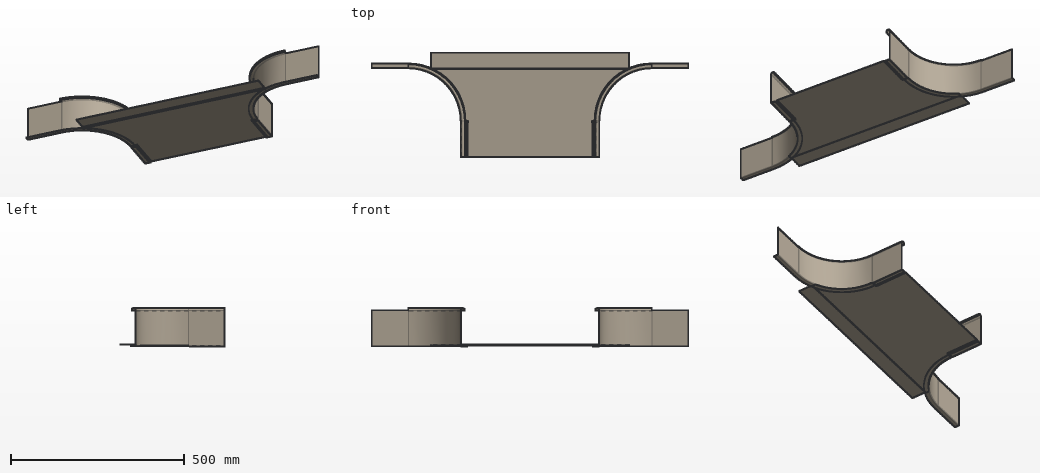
import cadquery as cq
import math

overall_length = 910.0
overall_height = 112.0
overall_depth = 300.0
throat_width = 399.5
leg_length = 105.0
sheet = 1.5

flange_width = 15.0
flange_bend = 2.0
rim_radius = 6.0
rim_lip = 2.0

back_half_width = 285.0
joggle_start = 18.0
joggle_run = 3.0
relief_slot = 5.0

half_length = overall_length / 2
half_throat = throat_width / 2
bend_radius = half_length - half_throat - leg_length
bend_x = half_throat + bend_radius
bend_y = leg_length
wall_back = bend_y + bend_radius
rim_base = overall_height - rim_radius

joggle_rise = 2 * sheet
flange_bottom = sheet
panel_bottom = joggle_rise
back_tab_bottom = panel_bottom + joggle_rise

joggle_outer = half_throat - joggle_start
joggle_inner = joggle_outer - joggle_run
back_joggle_y = wall_back - joggle_run
panel_edge = half_throat - flange_bend
panel_radius = bend_radius + flange_bend
panel_corner_y = bend_y + math.sqrt(panel_radius**2 - (bend_x - back_half_width) ** 2)


def wall_section(plane, has_rim):
    """Closed section of the side wall: local x runs inward from the outer face, local y upward."""
    inner_bend = flange_bend - sheet
    diagonal = math.cos(math.pi / 4)
    flange_top = flange_bottom + sheet
    bend_top = flange_bottom + flange_bend
    section = (
        cq.Workplane(plane)
        .moveTo(flange_width, flange_bottom)
        .lineTo(flange_bend, flange_bottom)
        .threePointArc(
            (flange_bend * (1 - diagonal), flange_bottom + flange_bend * (1 - diagonal)),
            (0, bend_top),
        )
        .lineTo(0, rim_base)
    )
    if has_rim:
        lip_bottom = rim_base - rim_lip
        rim_width = 2 * rim_radius
        section = (
            section.threePointArc((rim_radius, overall_height), (rim_width, rim_base))
            .lineTo(rim_width, lip_bottom)
            .lineTo(rim_width - sheet, lip_bottom)
            .lineTo(rim_width - sheet, rim_base)
            .threePointArc((rim_radius, overall_height - sheet), (sheet, rim_base))
        )
    else:
        section = section.lineTo(sheet, rim_base)
    return (
        section.lineTo(sheet, bend_top)
        .threePointArc(
            (flange_bend - inner_bend * diagonal, bend_top - inner_bend * diagonal),
            (flange_bend, flange_top),
        )
        .lineTo(flange_width, flange_top)
        .close()
    )


def side_wall():
    """Left side wall: a rimmed leg, a rimmed quarter bend and a plain arm."""
    bend_axis = [(-bend_radius, 0), (-bend_radius, 1)]
    leg_end = cq.Plane(origin=(-half_throat, 0, 0), xDir=(1, 0, 0), normal=(0, -1, 0))
    leg = wall_section(leg_end, True).extrude(-leg_length)

    bend_start = cq.Plane(origin=(-half_throat, bend_y, 0), xDir=(1, 0, 0), normal=(0, -1, 0))
    bend = wall_section(bend_start, True).revolve(90, *bend_axis)

    arm_end = cq.Plane(origin=(-half_length, wall_back, 0), xDir=(0, 1, 0), normal=(1, 0, 0))
    arm = wall_section(arm_end, False).extrude(leg_length)
    return leg.union(bend).union(arm)


def main_panel():
    """Flat panel that rests on the curved flanges and stops at their bends."""
    outline = (
        cq.Workplane("XY", origin=(0, 0, panel_bottom))
        .moveTo(0, 0)
        .lineTo(joggle_inner, 0)
        .lineTo(joggle_inner, bend_y)
        .lineTo(panel_edge, bend_y)
        .radiusArc((back_half_width, panel_corner_y), panel_radius)
        .lineTo(back_half_width, back_joggle_y)
        .lineTo(0, back_joggle_y)
        .close()
    )
    right_half = outline.extrude(sheet)
    return right_half.union(right_half.mirror("YZ"))


def joggled_strip(plane, length, points):
    """Sheet strip whose lower edge follows `points` in the plane, extruded by `length`."""
    lower = list(points)
    upper = [(across, height + sheet) for across, height in reversed(lower)]
    return cq.Workplane(plane).polyline(lower + upper).close().extrude(length)


def leg_tab():
    """Right tab that steps down from the main panel and runs under the leg flange."""
    return joggled_strip(
        "XZ",
        -(leg_length - relief_slot),
        [
            (joggle_inner, panel_bottom),
            (joggle_outer, 0),
            (panel_edge, 0),
        ],
    )


def back_tab():
    """Tab that steps up from the rear edge of the main panel."""
    return joggled_strip(
        cq.Plane(origin=(-back_half_width, 0, 0), xDir=(0, 1, 0), normal=(1, 0, 0)),
        2 * back_half_width,
        [
            (back_joggle_y, panel_bottom),
            (wall_back, back_tab_bottom),
            (overall_depth, back_tab_bottom),
        ],
    )


def base_plate():
    """Panel with a leg tab on each side and one rear tab."""
    tab = leg_tab()
    return main_panel().union(tab).union(tab.mirror("YZ")).union(back_tab())


left_wall = side_wall()
side_walls = [wall.val() for wall in (left_wall, left_wall.mirror("YZ"))]
plate = base_plate()

result = cq.Compound.makeCompound([*side_walls, plate.val()])